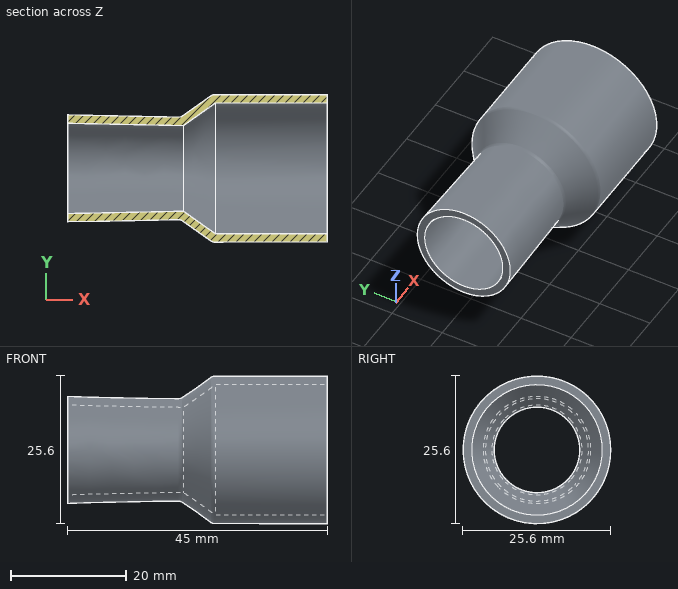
import cadquery as cq
import math

total_length = 45.0
body_radius = 25.6 / 2
mouth_radius = 9.3
neck_radius = 8.9
wall = 1.5
neck_x = 19.6
shoulder_x = 25.12
bend_radius = 1.0

tube_angle = -math.atan2(mouth_radius - neck_radius, neck_x)
cone_angle = math.atan2(body_radius - neck_radius, shoulder_x - neck_x)
body_angle = 0.0


def inner_corner(x, radius, angle_before, angle_after):
    """Bore corner one wall thickness inside an outer corner, on both neighbouring stretches."""
    mean_angle = (angle_before + angle_after) / 2
    miter = wall / math.cos((angle_after - angle_before) / 2)
    return (x + miter * math.sin(mean_angle), radius - miter * math.cos(mean_angle))


def revolve_about_x(points):
    profile = cq.Workplane("XY").polyline(points).close()
    return profile.revolve(360, (0, 0, 0), (1, 0, 0))


def make_outside():
    outside = revolve_about_x([
        (0, 0),
        (0, mouth_radius),
        (neck_x, neck_radius),
        (shoulder_x, body_radius),
        (total_length, body_radius),
        (total_length, 0),
    ])
    bends = outside.edges("%CIRCLE").edges("not(<X or >X)")
    return bends.fillet(bend_radius)


def make_bore():
    return revolve_about_x([
        (0, 0),
        (0, mouth_radius - wall / math.cos(tube_angle)),
        inner_corner(neck_x, neck_radius, tube_angle, cone_angle),
        inner_corner(shoulder_x, body_radius, cone_angle, body_angle),
        (total_length, body_radius - wall),
        (total_length, 0),
    ])


result = make_outside().cut(make_bore())